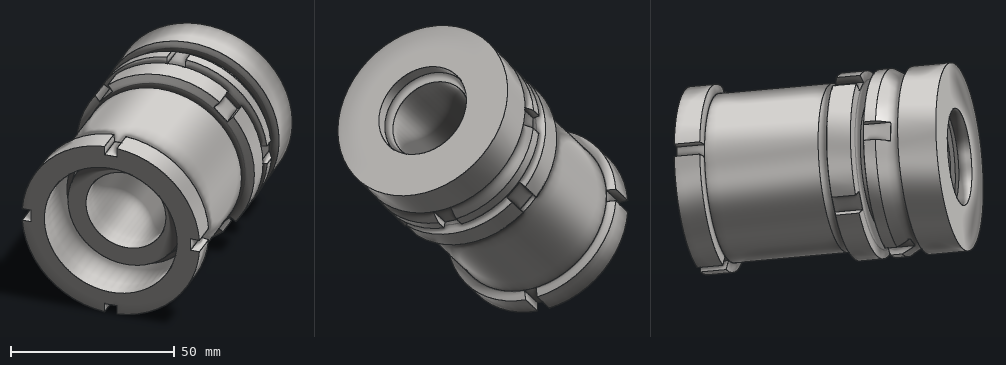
import cadquery as cq
import math


overall_length = 83.0
outer_diameter = 58.0
outer_radius = outer_diameter / 2
thread_radius = 20.2
through_radius = 13.0
edge_chamfer_length = 0.75
edge_chamfer_depth = 2.7
spanner_slot_width = 6.05
spanner_floor_radius = 26.5
spanner_turn = 1.4
slot_count = 4
slot_pitch = 360 / slot_count
cut_clearance = 0.8

sleeve_length = 47.0
sleeve_radius = 26.05
sleeve_chamfer = 2.15
flange_thickness = 8.9
flange_slot_width = 4.0
bore_radius = 21.65
bore_depth = 19.9

nut_start = 47.6
nut_length = 9.05

stud_start = 13.4
thread_start = 19.1
thread_end = 57.9
thread_chamfer = 1.25
neck_radius = thread_radius - thread_chamfer
head_start = 59.3
rim_end = 63.8
ball_center = 50.1
ball_radius = math.hypot(outer_radius, rim_end - ball_center)
ball_flat = 76.3
spanner_slot_end = 68.0

ring_start = 70.0
ring_chamfer_length = 0.5
ring_chamfer_depth = 2.1
ring_hole_radius = 14.9
ring_lean_x = 0.6
ring_lean_z = 0.4
ring_lean = math.radians(math.hypot(ring_lean_x, ring_lean_z))
ring_end = overall_length - outer_radius * math.sin(ring_lean)


def turn(outline):
    """Revolve a closed XY outline about the Y axis."""
    return outline.close().revolve(360, (0, 0, 0), (0, 1, 0))


def turned(points):
    """Revolve straight-sided (radius, y) points about the Y axis."""
    return turn(cq.Workplane("XY").polyline(points))


def on_ball(y):
    """The (radius, y) point of the ball at height y."""
    return math.sqrt(ball_radius**2 - (y - ball_center) ** 2), y


def rim_slots(width, floor_radius, start, end, first_angle):
    """Evenly spaced radial slot cutters around the Y axis, between two heights."""
    depth = outer_radius - floor_radius + cut_clearance
    cutter = cq.Workplane("XY").box(
        depth, end - start, width, centered=(False, False, True)
    ).translate((floor_radius, start, 0))
    slots = cq.Workplane("XY")
    for index in range(slot_count):
        angle = first_angle + slot_pitch * index
        slots = slots.add(cutter.rotate((0, 0, 0), (0, 1, 0), angle))
    return slots


def make_sleeve():
    body = turned([
        (bore_radius, 0),
        (outer_radius, 0),
        (outer_radius, flange_thickness - edge_chamfer_length),
        (outer_radius - edge_chamfer_depth, flange_thickness),
        (sleeve_radius, flange_thickness),
        (sleeve_radius, sleeve_length - sleeve_chamfer),
        (sleeve_radius - sleeve_chamfer, sleeve_length),
        (thread_radius, sleeve_length),
        (thread_radius, bore_depth),
        (bore_radius, bore_depth),
    ])
    return body.cut(rim_slots(flange_slot_width, sleeve_radius, 0, flange_thickness, 0))


def make_lock_nut():
    nut_end = nut_start + nut_length
    body = turned([
        (thread_radius, nut_start),
        (outer_radius - edge_chamfer_depth, nut_start),
        (outer_radius, nut_start + edge_chamfer_length),
        (outer_radius, nut_end - edge_chamfer_length),
        (outer_radius - edge_chamfer_depth, nut_end),
        (thread_radius, nut_end),
    ])
    first_angle = slot_pitch / 2 - spanner_turn
    slots = rim_slots(spanner_slot_width, spanner_floor_radius, nut_start, nut_end, first_angle)
    return body.cut(slots)


def make_ball_stud():
    outline = (
        cq.Workplane("XY")
        .moveTo(through_radius, stud_start)
        .lineTo(neck_radius, stud_start)
        .lineTo(neck_radius, thread_start)
        .lineTo(thread_radius, thread_start + thread_chamfer)
        .lineTo(thread_radius, thread_end - thread_chamfer)
        .lineTo(neck_radius, thread_end)
        .lineTo(neck_radius, head_start)
        .lineTo(outer_radius - edge_chamfer_depth, head_start)
        .lineTo(outer_radius, head_start + edge_chamfer_length)
        .lineTo(outer_radius, rim_end)
        .threePointArc(on_ball((rim_end + ball_flat) / 2), on_ball(ball_flat))
        .lineTo(through_radius, ball_flat)
    )
    slots = rim_slots(
        spanner_slot_width, spanner_floor_radius, head_start, spanner_slot_end, -spanner_turn
    )
    return turn(outline).cut(slots)


def make_seat_ring():
    hole_base = ball_center + math.sqrt(ball_radius**2 - ring_hole_radius**2)
    outline = (
        cq.Workplane("XY")
        .moveTo(*on_ball(ring_start))
        .lineTo(outer_radius - ring_chamfer_depth, ring_start)
        .lineTo(outer_radius, ring_start + ring_chamfer_length)
        .lineTo(outer_radius, ring_end)
        .lineTo(ring_hole_radius, ring_end)
        .lineTo(ring_hole_radius, hole_base)
        .threePointArc(on_ball((hole_base + ring_start) / 2), on_ball(ring_start))
    )
    pivot = (0, ball_center, 0)
    return (
        turn(outline)
        .rotate(pivot, (0, ball_center, 1), ring_lean_x)
        .rotate(pivot, (1, ball_center, 0), ring_lean_z)
    )


sleeve = make_sleeve()
lock_nut = make_lock_nut()
ball_stud = make_ball_stud()
seat_ring = make_seat_ring()

result = cq.Compound.makeCompound([
    sleeve.val(),
    lock_nut.val(),
    ball_stud.val(),
    seat_ring.val(),
])